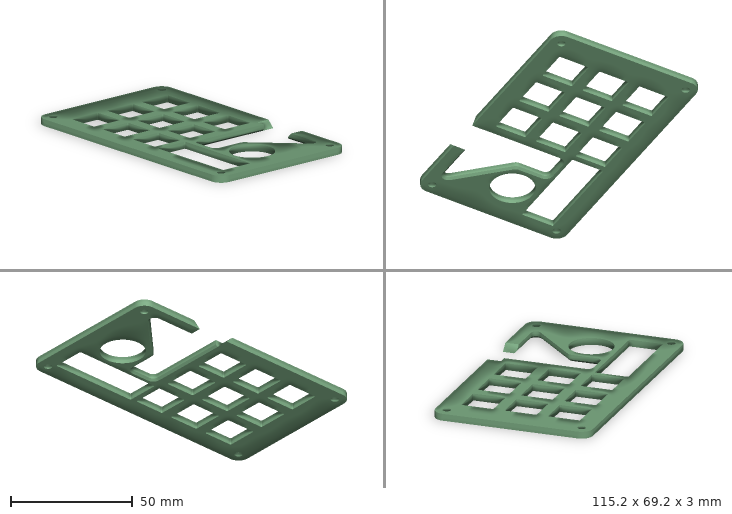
import cadquery as cq

length = 115.2
width = 69.2
thickness = 3.0
corner_radius = 5.0

screw_hole_diameter = 3.5
screw_spacing_x = length - 2 * corner_radius
screw_spacing_y = width - 2 * corner_radius

key_pitch = 19.0
key_count = 3
key_size = 14.1
key_grid_centre_x = -key_pitch

knob_diameter = 19.0
knob_x = 2 * key_pitch

window_left = 9.7
window_length = 41.0
window_width = 14.8
window_centre_y = -19.4
opening_corner_radius = 0.5

slot_left = 12.3
slot_right = 25.6
slot_bottom = -9.6
flare_start_y = 5.2
arm_width = 5.9
slot_radius = 2.5
flare_start_radius = 3.0
flare_tip_radius = 2.0
slot_chamfer = 0.9
rim_margin = 0.1
arm_edge_y = width / 2 - arm_width
flare_tip_x = slot_right + arm_edge_y - flare_start_y

mouth_bottom_left = 11.5
mouth_bottom_right = 26.5
mouth_top_left = mouth_bottom_left - thickness
mouth_top_right = mouth_bottom_right + thickness


def rectangular_opening(size_x, size_y):
    return (
        cq.Workplane("XY")
        .rect(size_x, size_y)
        .extrude(thickness)
        .edges("|Z")
        .fillet(opening_corner_radius)
    )


def make_plate():
    plate = (
        cq.Workplane("XY")
        .rect(length, width)
        .extrude(thickness)
        .edges("|Z")
        .fillet(corner_radius)
    )
    return (
        plate.faces(">Z")
        .workplane(origin=(0, 0, thickness))
        .rect(screw_spacing_x, screw_spacing_y, forConstruction=True)
        .vertices()
        .hole(screw_hole_diameter)
    )


def cut_keys(plate):
    key_opening = rectangular_opening(key_size, key_size)
    first_offset = -(key_count - 1) / 2 * key_pitch
    for column in range(key_count):
        for row in range(key_count):
            x = key_grid_centre_x + first_offset + column * key_pitch
            y = first_offset + row * key_pitch
            plate = plate.cut(key_opening.translate((x, y, 0)))
    return plate


def cut_window(plate):
    window = rectangular_opening(window_length, window_width)
    return plate.cut(window.translate((window_left + window_length / 2, window_centre_y, 0)))


def cut_knob_opening(plate):
    knob = cq.Workplane("XY").center(knob_x, 0).circle(knob_diameter / 2).extrude(thickness)
    return plate.cut(knob)


def round_upright_edge(body, x, y, radius):
    nearest_edge = cq.selectors.NearestToPointSelector((x, y, thickness / 2))
    return body.edges("|Z").edges(nearest_edge).fillet(radius)


def cut_slot(plate):
    slot = (
        cq.Workplane("XY")
        .moveTo(slot_left, slot_bottom)
        .lineTo(slot_right, slot_bottom)
        .lineTo(slot_right, flare_start_y)
        .lineTo(flare_tip_x, arm_edge_y)
        .lineTo(slot_left, arm_edge_y)
        .close()
        .extrude(thickness)
    )
    slot = round_upright_edge(slot, flare_tip_x, arm_edge_y, flare_tip_radius)
    slot = round_upright_edge(slot, slot_right, flare_start_y, flare_start_radius)
    for side_x in (slot_left, slot_right):
        slot = round_upright_edge(slot, side_x, slot_bottom, slot_radius)
    slot_rim = cq.selectors.BoxSelector(
        (slot_left - rim_margin, slot_bottom - rim_margin, -rim_margin),
        (flare_tip_x, arm_edge_y + rim_margin, rim_margin),
        boundingbox=True,
    )
    return plate.cut(slot).edges(slot_rim).chamfer(slot_chamfer)


def cut_mouth(plate):
    mouth = (
        cq.Workplane("XZ", origin=(0, width / 2, 0))
        .moveTo(mouth_bottom_left, 0)
        .lineTo(mouth_bottom_right, 0)
        .lineTo(mouth_top_right, thickness)
        .lineTo(mouth_top_left, thickness)
        .close()
        .extrude(arm_width)
    )
    return plate.cut(mouth)


result = make_plate()
result = cut_slot(result)
result = cut_knob_opening(result)
result = cut_keys(result)
result = cut_window(result)
result = cut_mouth(result)